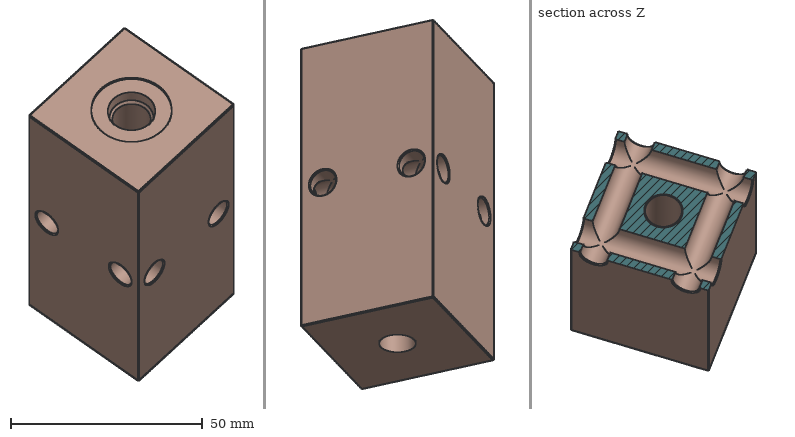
import cadquery as cq

height = 82.55
width = 38.1
edge_chamfer = 0.3

spotface_diameter = 21.0
spotface_depth = 0.7
port_mouth_diameter = 12.4
port_root_diameter = 11.4
port_depth = 2.8
upper_bore_diameter = 10.0
lower_bore_diameter = 9.6
shoulder_depth = (port_root_diameter - upper_bore_diameter) / 2
bore_step_height = height / 2

cross_hole_diameter = 7.35
cross_hole_offset = 12.7
cross_hole_chamfer = 0.3


def make_block():
    block = cq.Workplane("XY").box(width, width, height, centered=(True, True, False))
    return block.edges().chamfer(edge_chamfer)


def make_bore():
    """Solid of revolution removed along the Z axis, open at both ends."""
    port_top = height - spotface_depth
    port_bottom = port_top - port_depth
    shoulder_bottom = port_bottom - shoulder_depth
    profile = [
        (0, 0),
        (lower_bore_diameter / 2, 0),
        (lower_bore_diameter / 2, bore_step_height),
        (upper_bore_diameter / 2, bore_step_height),
        (upper_bore_diameter / 2, shoulder_bottom),
        (port_root_diameter / 2, port_bottom),
        (port_mouth_diameter / 2, port_top),
        (spotface_diameter / 2, port_top),
        (spotface_diameter / 2, height),
        (0, height),
    ]
    return cq.Workplane("XZ").polyline(profile).close().revolve(360, (0, 0), (0, 1))


def make_cross_hole(offset):
    """Hole along Y with a 45 degree chamfer at each mouth."""
    hole_radius = cross_hole_diameter / 2
    mouth_radius = hole_radius + cross_hole_chamfer
    face = width / 2
    chamfer_root = face - cross_hole_chamfer
    profile = [
        (0, -face),
        (mouth_radius, -face),
        (hole_radius, -chamfer_root),
        (hole_radius, chamfer_root),
        (mouth_radius, face),
        (0, face),
    ]
    hole = cq.Workplane("XY").polyline(profile).close().revolve(360, (0, 0), (0, 1))
    return hole.translate((offset, 0, height / 2))


result = make_block().cut(make_bore())
for side_offset in (-cross_hole_offset, cross_hole_offset):
    cross_hole = make_cross_hole(side_offset)
    result = result.cut(cross_hole)
    result = result.cut(cross_hole.rotate((0, 0, 0), (0, 0, 1), 90))